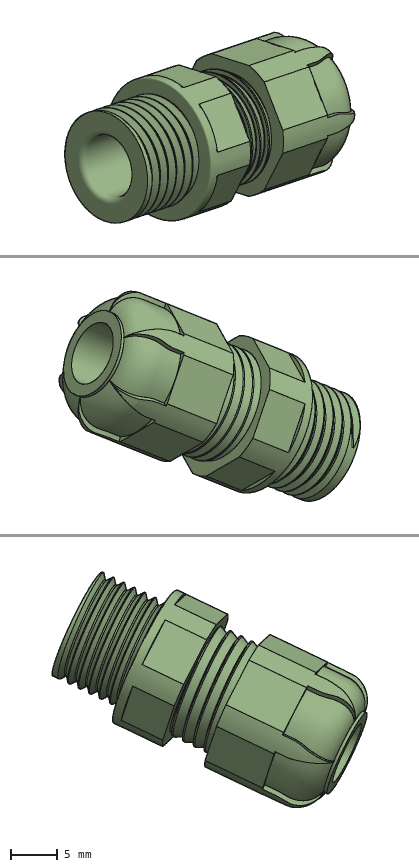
import cadquery as cq
import math


BODY_RADIUS = 8.0
HEX_FLATS = 14.98
BORE_RADIUS = 3.5
ENTRY_FILLET = 0.65

FLANGE_START = 8.1
BODY_HEX_START = 9.15
BODY_HEX_END = 14.17
NUT_START = 19.27
NUT_HEX_END = 26.23
NUT_TOP = 32.18
TOTAL_LENGTH = 32.5

FLANGE_FILLET = 0.2

ENTRY_RADIUS = 6.25
ENTRY_DEPTH = 0.62
ENTRY_PITCH = 1.27
ENTRY_MOUTH_WIDTH = 1.25
ENTRY_ROOT_WIDTH = 0.2
ENTRY_GROOVE_START = 0.65

NECK_RADIUS = 6.0
NECK_CREST_RADIUS = 6.5
NECK_PITCH = 1.3
NECK_CREST_WIDTH = 0.2
NECK_RAMP = 1.07
NECK_RIDGE_START = 12.6
NECK_TURNS = 5.08
NECK_END = NUT_HEX_END

DOME_RADIUS = 7.45
DOME_FILLET = 3.15
LIP_RADIUS = 4.88

LOBE_COUNT = 6
LOBE_ROUND_RADIUS = 8.05
LOBE_FILLET = 3.22
LOBE_HALF_WIDTH = 1.05
LOBE_TAPER_START = 28.0
LOBE_SHOULDER_RADIUS = 4.22

THREAD_OVERRUN = 0.05
CUT_MARGIN = 0.32


def cylinder(radius, start, end):
    return cq.Workplane("XY").workplane(offset=start).circle(radius).extrude(end - start)


def hexagon(start, end):
    """Hexagonal prism with flats facing +Y and -Y, corners rounded to the envelope."""
    across_corners = HEX_FLATS / math.cos(math.pi / 6)
    prism = cq.Workplane("XY").workplane(offset=start).polygon(6, across_corners).extrude(end - start)
    return prism.intersect(cylinder(BODY_RADIUS, start, end))


def helical_bar(section, pitch, turns, start):
    """Right-handed bar that starts on the -X side; section points are (radius, axial offset)."""
    path = cq.Workplane(cq.Wire.makeHelix(pitch, pitch * turns, section[0][0]))
    bar = cq.Workplane("XZ").polyline(section).close().sweep(path, isFrenet=True)
    return bar.rotate((0, 0, 0), (0, 0, 1), 180).translate((0, 0, start))


def entry_shank():
    """Threaded shank; the groove runs out of it along a straight tangent at the entry end."""
    root_radius = ENTRY_RADIUS - ENTRY_DEPTH
    mouth_radius = ENTRY_RADIUS + THREAD_OVERRUN
    section = [
        (root_radius, -ENTRY_ROOT_WIDTH / 2),
        (mouth_radius, -ENTRY_MOUTH_WIDTH / 2),
        (mouth_radius, ENTRY_MOUTH_WIDTH / 2),
        (root_radius, ENTRY_ROOT_WIDTH / 2),
    ]
    turns = math.ceil(FLANGE_START / ENTRY_PITCH)
    groove = helical_bar(section, ENTRY_PITCH, turns, ENTRY_GROOVE_START)
    descent = ENTRY_RADIUS * ENTRY_PITCH / (2 * math.pi * root_radius)
    tangent = cq.Edge.makeLine(
        cq.Vector(-root_radius, 0, ENTRY_GROOVE_START),
        cq.Vector(-root_radius, ENTRY_RADIUS, ENTRY_GROOVE_START - descent),
    )
    run_out = (
        cq.Workplane("XZ")
        .polyline([(-radius, ENTRY_GROOVE_START + offset) for radius, offset in section])
        .close()
        .sweep(cq.Workplane(tangent))
    )
    return cylinder(ENTRY_RADIUS, 0, FLANGE_START).cut(groove).cut(run_out)


def neck():
    """Neck with a saw-tooth ridge between the two hexagons and a plain end inside the nut."""
    base_radius = NECK_RADIUS - THREAD_OVERRUN
    section = [
        (base_radius, 0),
        (NECK_CREST_RADIUS, 0),
        (NECK_CREST_RADIUS, NECK_CREST_WIDTH),
        (base_radius, NECK_CREST_WIDTH + NECK_RAMP),
    ]
    ridge = helical_bar(section, NECK_PITCH, NECK_TURNS, NECK_RIDGE_START)
    exposed = cylinder(BODY_RADIUS, BODY_HEX_END, NUT_START)
    return cylinder(NECK_RADIUS, BODY_HEX_END, NECK_END).union(ridge.intersect(exposed))


def make_gland_body():
    flange = cylinder(BODY_RADIUS, FLANGE_START, BODY_HEX_START)
    flange = flange.faces("<Z").edges().fillet(FLANGE_FILLET)
    body = flange.union(hexagon(BODY_HEX_START, BODY_HEX_END))
    body = body.union(entry_shank()).union(neck())
    body = body.cut(cylinder(BORE_RADIUS, 0, NECK_END))
    mouth = cq.selectors.RadiusNthSelector(0)
    return body.faces("<Z").edges(mouth).fillet(ENTRY_FILLET)


def lobes():
    """Ring of lobes: each narrows to a point at the nut top, seen along its own radius."""
    envelope = cylinder(LOBE_ROUND_RADIUS, NUT_HEX_END, NUT_TOP)
    envelope = envelope.faces(">Z").edges().fillet(LOBE_FILLET)
    envelope = envelope.intersect(cylinder(BODY_RADIUS, NUT_HEX_END, NUT_TOP))
    blade = (
        cq.Workplane("YZ")
        .moveTo(-LOBE_HALF_WIDTH, NUT_HEX_END)
        .lineTo(LOBE_HALF_WIDTH, NUT_HEX_END)
        .lineTo(LOBE_HALF_WIDTH, LOBE_TAPER_START)
        .lineTo(0, NUT_TOP)
        .lineTo(-LOBE_HALF_WIDTH, LOBE_TAPER_START)
        .close()
        .extrude(BODY_RADIUS + CUT_MARGIN)
    )
    shoulders = cq.selectors.BoxSelector(
        (0, -BODY_RADIUS, LOBE_TAPER_START - CUT_MARGIN),
        (BODY_RADIUS, BODY_RADIUS, LOBE_TAPER_START + CUT_MARGIN),
    )
    lobe = blade.edges("|X").edges(shoulders).fillet(LOBE_SHOULDER_RADIUS).intersect(envelope)
    return [lobe.rotate((0, 0, 0), (0, 0, 1), 360 / LOBE_COUNT * i) for i in range(LOBE_COUNT)]


def make_cap_nut():
    dome = cylinder(DOME_RADIUS, NUT_START, NUT_TOP).faces(">Z").edges().fillet(DOME_FILLET)
    nut = hexagon(NUT_START, NUT_HEX_END).union(dome)
    for lobe in lobes():
        nut = nut.union(lobe)
    nut = nut.union(cylinder(LIP_RADIUS, NUT_HEX_END, TOTAL_LENGTH))
    nut = nut.cut(cylinder(NECK_RADIUS, NUT_START, NECK_END))
    return nut.cut(cylinder(BORE_RADIUS, NECK_END, TOTAL_LENGTH))


def lay_along_y(body):
    return body.rotate((0, 0, 0), (1, 0, 0), -90)


gland_body = lay_along_y(make_gland_body().solids())
cap_nut = lay_along_y(make_cap_nut().solids())

result = cq.Compound.makeCompound([gland_body.val(), cap_nut.val()])